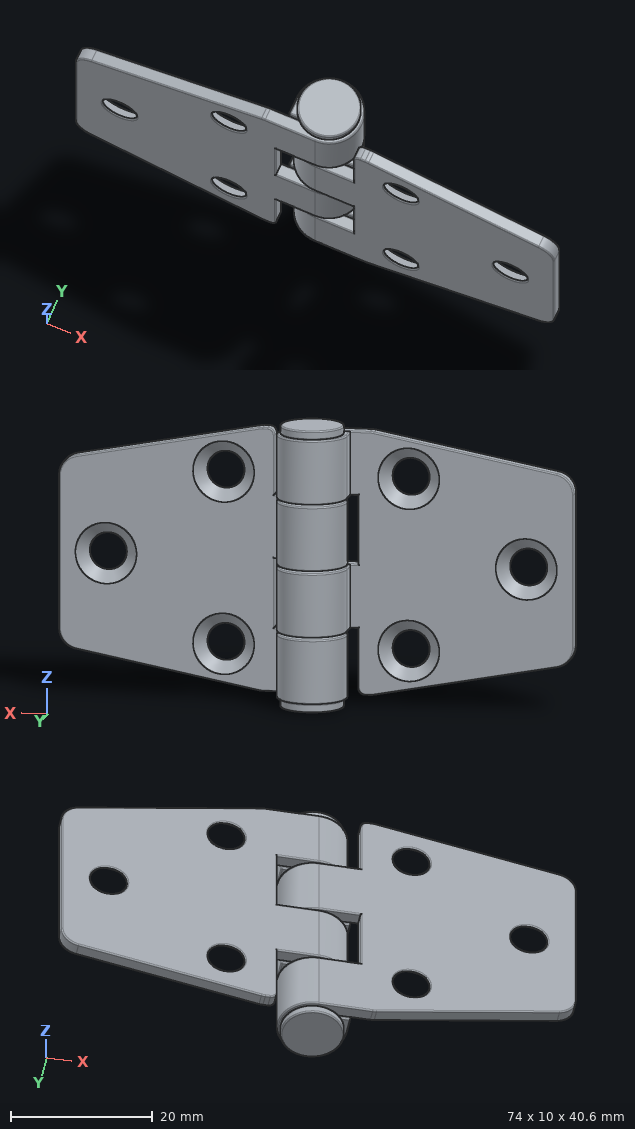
import cadquery as cq
import math

leaf_reach = 37.0
leaf_height = 38.0
leaf_thickness = 2.0
straight_reach = 8.0
outer_edge_height = 27.0
corner_radius = 3.0
free_corner_radius = 1.0

knuckle_radius = 5.0
knuckle_count = 4
knuckle_gap = 0.3
roll_gap = 0.3
notch_clearance = 1.0

hole_diameter = 5.3
hole_land = 0.25
countersink_angle = 90.0
outer_hole_x = 30.2
inner_hole_x = 13.3
inner_hole_z = 12.4

pin_length = 40.6
head_radius = 4.5

edge_radius = 0.2

half_height = leaf_height / 2
knuckle_width = (leaf_height - (knuckle_count - 1) * knuckle_gap) / knuckle_count
knuckle_pitch = knuckle_width + knuckle_gap
bore_radius = knuckle_radius - leaf_thickness
notch_x = knuckle_radius + notch_clearance
leaf_front_y = -knuckle_radius
leaf_back_y = leaf_front_y + leaf_thickness
roll_end_y = leaf_back_y + roll_gap
outer_half_height = outer_edge_height / 2
hole_radius = hole_diameter / 2
countersink_depth = leaf_thickness - hole_land
countersink_radius = hole_radius + countersink_depth * math.tan(math.radians(countersink_angle / 2))

hole_centers = [
    (-outer_hole_x, 0),
    (-inner_hole_x, inner_hole_z),
    (-inner_hole_x, -inner_hole_z),
]


def block(x_min, x_max, y_min, y_max, z_min, z_max):
    """Box between the given limits."""
    size = (x_max - x_min, y_max - y_min, z_max - z_min)
    return cq.Workplane("XY").box(*size, centered=False).translate((x_min, y_min, z_min))


def cylinder(radius, z_min, height):
    """Cylinder on the hinge axis."""
    return cq.Workplane("XY", origin=(0, 0, z_min)).circle(radius).extrude(height)


def make_plate():
    """Flat part of the left leaf up to the notch edge, with straight screw holes."""
    outline = [
        (-notch_x, half_height),
        (-straight_reach, half_height),
        (-leaf_reach, outer_half_height),
        (-leaf_reach, -outer_half_height),
        (-straight_reach, -half_height),
        (-notch_x, -half_height),
    ]
    back_face = cq.Workplane("XZ", origin=(0, leaf_back_y, 0))
    plate = back_face.polyline(outline).close().extrude(leaf_thickness)
    plate = plate.edges("|Y and (not >X)").fillet(corner_radius)
    plate = plate.edges("|Y and >X").edges("<Z").fillet(free_corner_radius)
    holes = back_face.pushPoints(hole_centers).circle(hole_radius).extrude(leaf_thickness)
    return plate.cut(holes)


def make_knuckle(z_min):
    """Unbored knuckle of the left leaf, with the strip that joins it to the plate."""
    z_max = z_min + knuckle_width
    roll = cylinder(knuckle_radius, z_min, knuckle_width)
    roll_end = block(-knuckle_radius, 0, leaf_front_y, 0, z_min, z_max)
    slit = block(-knuckle_radius, 0, leaf_back_y, roll_end_y, z_min, z_max)
    strip = block(-notch_x, 0, leaf_front_y, leaf_back_y, z_min, z_max)
    return roll.union(roll_end).cut(slit).union(strip)


def round_edges(leaf):
    """Round the leaf's rims, the knuckle ends and the upright edges outside the slit."""
    margin = edge_radius / 2
    outside_slit = cq.selectors.BoxSelector(
        (-leaf_reach - margin, leaf_front_y - margin, -half_height),
        (-knuckle_radius + margin, roll_end_y + margin, half_height),
    )
    upright_edges = leaf.edges("|Z").edges(outside_slit)
    return leaf.edges("not (|Y or |Z)").add(upright_edges).fillet(edge_radius)


def make_countersinks():
    """Cones that open the screw holes towards the back face."""
    cones = [
        cq.Solid.makeCone(
            countersink_radius,
            hole_radius,
            countersink_depth,
            pnt=cq.Vector(x, leaf_back_y, z),
            dir=cq.Vector(0, -1, 0),
        )
        for x, z in hole_centers
    ]
    return cq.Workplane("XY").newObject(cones).combine()


def make_leaf():
    """Left leaf, with the top knuckle and the third one down."""
    leaf = make_plate()
    for place in range(0, knuckle_count, 2):
        leaf = leaf.union(make_knuckle(half_height - knuckle_width - place * knuckle_pitch))
    leaf = round_edges(leaf)
    leaf = leaf.cut(make_countersinks())
    return leaf.cut(cylinder(bore_radius, -half_height, leaf_height))


def make_pin():
    """Pin through all knuckles, with a head bearing on the knuckles at each end."""
    head_height = pin_length / 2 - half_height
    head = cylinder(head_radius, half_height, head_height).edges().fillet(edge_radius)
    shank = cylinder(bore_radius, -half_height, leaf_height)
    return shank.union(head).union(head.mirror("XY"))


left_leaf = make_leaf()

right_leaf = make_leaf().rotate((0, 0, 0), (0, 1, 0), 180)

pin = make_pin()

result = cq.Compound.makeCompound([left_leaf.val(), right_leaf.val(), pin.val()])